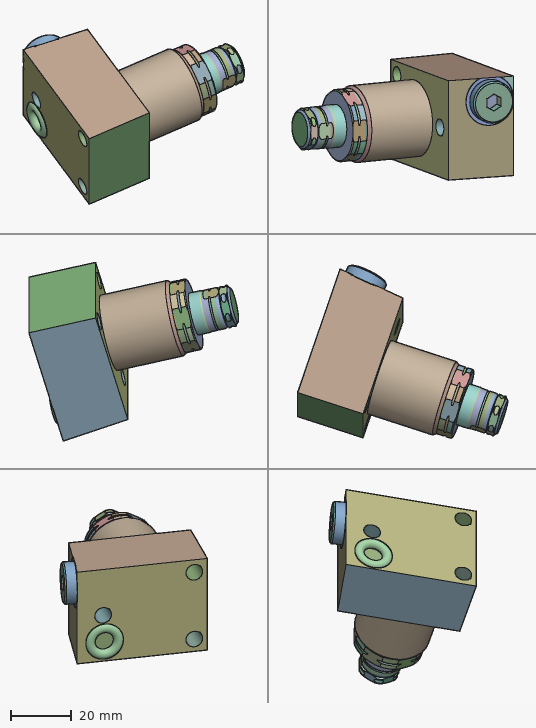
import cadquery as cq
import math


block_depth = 22.85
block_height = 33.5
block_right = 17.45
block_left_front = -26.9
slant_angle = 7.0
block_left_back = block_left_front + block_depth * math.tan(math.radians(slant_angle))

hole_diameter = 5.65
hole_places = [(13.0, 12.2), (13.0, -12.2), (-18.05, 0.0)]

ring_x = -17.5
ring_z = -9.65
ring_section_radius = 1.65
ring_outer_radius = 6.45
ring_protrusion = 1.0
ring_middle_radius = ring_outer_radius - ring_section_radius
seat_overlap = 0.05
seat_radius = ring_outer_radius - seat_overlap
seat_depth = 2 * ring_section_radius - ring_protrusion - seat_overlap

plug_from_front_edge = 8.3
plug_z = 9.1
plug_radius = 7.05
plug_height = 3.85
plug_chamfer = 0.5
spotface_radius = 8.4
spotface_depth = 0.2
hex_across_flats = 4.9
hex_depth = 4.0

barrel_start = block_depth / 2
barrel_radius = 12.8
shoulder_start = 45.45
shoulder_end = 46.3
shoulder_top_radius = 12.1

nut_start = 46.65
nut_end = 51.85
nut_radius = 12.0
nut_chamfer = 0.4
nut_flat_distance = 11.45
nut_flat_runout = 0.45
nut_groove_place = 49.4
nut_groove_section_radius = 0.4
nut_groove_depth = 0.4

stem_radius = 7.1
stem_end = 55.7
stem_taper_end = 56.2
sleeve_radius = 7.0
sleeve_round_start = 60.7
sleeve_flat_start = 56.65
sleeve_flat_runout = 0.85
sleeve_groove_place = 58.8
sleeve_groove_section_radius = 0.3
sleeve_groove_depth = 0.3
neck_radius = 6.4
neck_start = 62.0
neck_end = 62.1
connector_flat_distance = 6.45
connector_end = 65.65
head_radius = sleeve_radius
head_start = 62.45
head_end = 64.65
head_groove_place = 63.6
head_groove_section_radius = 1.2
head_groove_depth = 0.25
nose_chamfer = 0.7
nose_base_radius = connector_flat_distance
nose_tip_radius = nose_base_radius - nose_chamfer


def around_barrel(profile):
    """Revolve a closed XY profile about the Y axis."""
    return profile.close().revolve(360, (0, 0, 0), (0, 1, 0))


def ring_groove(place, outer_radius, section_radius, depth):
    """Round-bottomed groove cutter around the Y axis."""
    middle_radius = outer_radius - depth + section_radius
    return (
        cq.Workplane("XY")
        .center(middle_radius, place)
        .circle(section_radius)
        .revolve(360, (-middle_radius, 0, 0), (-middle_radius, 1, 0))
    )


def flat_cutter(distance, start, end, angle, runout=0.0):
    """Box that cuts a flat parallel to Y, with an optional rounded run-out at its start."""
    width = 2 * distance
    thickness = distance / 2
    cutter = cq.Workplane("XY").box(
        thickness, end - start, width, centered=(False, False, True)
    )
    if runout:
        cutter = cutter.edges("<X and <Y").fillet(runout)
    return cutter.translate((distance, start, 0)).rotate((0, 0, 0), (0, 1, 0), angle)


def make_block():
    block = (
        cq.Workplane("XY", origin=(0, 0, -block_height / 2))
        .polyline([
            (block_left_front, 0),
            (block_right, 0),
            (block_right, block_depth),
            (block_left_back, block_depth),
        ])
        .close()
        .extrude(block_height)
    )
    holes = (
        cq.Workplane("XZ")
        .pushPoints(hole_places)
        .circle(hole_diameter / 2)
        .extrude(-block_depth)
    )
    return block.cut(holes)


def add_o_ring(body):
    face = cq.Workplane("XZ").center(ring_x, ring_z)
    seat = face.circle(seat_radius).extrude(-seat_depth)
    ring_solid = cq.Solid.makeTorus(
        ring_middle_radius,
        ring_section_radius,
        cq.Vector(ring_x, ring_section_radius - ring_protrusion, ring_z),
        cq.Vector(0, 1, 0),
    )
    return body.cut(seat).union(cq.Workplane(obj=ring_solid))


def add_plug(body):
    slant = math.radians(slant_angle)
    plug_center = (
        block_left_front + plug_from_front_edge * math.sin(slant),
        plug_from_front_edge * math.cos(slant),
        plug_z,
    )
    side = cq.Workplane(
        cq.Plane(
            origin=plug_center,
            xDir=(0, 0, 1),
            normal=(-math.cos(slant), math.sin(slant), 0),
        )
    )
    spotface = side.circle(spotface_radius).extrude(-spotface_depth)
    plug = (
        side.workplane(offset=-spotface_depth)
        .circle(plug_radius)
        .extrude(plug_height + spotface_depth)
        .faces(cq.selectors.DirectionMinMaxSelector(side.plane.zDir))
        .edges()
        .chamfer(plug_chamfer)
    )
    hex_across_corners = hex_across_flats / math.cos(math.radians(30))
    socket = (
        side.workplane(offset=plug_height)
        .polygon(6, hex_across_corners)
        .extrude(-hex_depth)
    )
    return body.cut(spotface).union(plug).cut(socket)


def make_barrel():
    sleeve_drop = sleeve_radius - neck_radius
    round_length = neck_start - sleeve_round_start
    round_radius = (round_length**2 + sleeve_drop**2) / (2 * sleeve_drop)
    return around_barrel(
        cq.Workplane("XY")
        .moveTo(0, barrel_start)
        .lineTo(barrel_radius, barrel_start)
        .lineTo(barrel_radius, shoulder_start)
        .lineTo(shoulder_top_radius, shoulder_end)
        .lineTo(nut_radius, nut_start)
        .lineTo(nut_radius, nut_end - nut_chamfer)
        .lineTo(nut_radius - nut_chamfer, nut_end)
        .lineTo(stem_radius, nut_end)
        .lineTo(stem_radius, stem_end)
        .lineTo(sleeve_radius, stem_taper_end)
        .lineTo(sleeve_radius, sleeve_round_start)
        .radiusArc((neck_radius, neck_start), -round_radius)
        .lineTo(neck_radius, neck_end)
        .lineTo(head_radius, head_start)
        .lineTo(head_radius, head_end)
        .lineTo(nose_base_radius, connector_end - nose_chamfer)
        .lineTo(nose_tip_radius, connector_end)
        .lineTo(0, connector_end)
    )


def cut_flats(barrel):
    neck_middle = (neck_start + neck_end) / 2
    for angle in range(0, 360, 60):
        barrel = barrel.cut(
            flat_cutter(nut_flat_distance, nut_start, nut_end, angle, nut_flat_runout)
        )
        barrel = barrel.cut(
            flat_cutter(connector_flat_distance, neck_middle, connector_end, angle)
        )
    for angle in (0, 180):
        barrel = barrel.cut(
            flat_cutter(
                connector_flat_distance, sleeve_flat_start, neck_middle, angle, sleeve_flat_runout
            )
        )
    return barrel


def cut_grooves(barrel):
    grooves = [
        (nut_groove_place, nut_radius, nut_groove_section_radius, nut_groove_depth),
        (sleeve_groove_place, sleeve_radius, sleeve_groove_section_radius, sleeve_groove_depth),
        (head_groove_place, head_radius, head_groove_section_radius, head_groove_depth),
    ]
    for place, outer_radius, section_radius, depth in grooves:
        barrel = barrel.cut(ring_groove(place, outer_radius, section_radius, depth))
    return barrel


body = make_block()
body = add_o_ring(body)
body = add_plug(body)
barrel = cut_grooves(cut_flats(make_barrel()))
result = body.union(barrel)